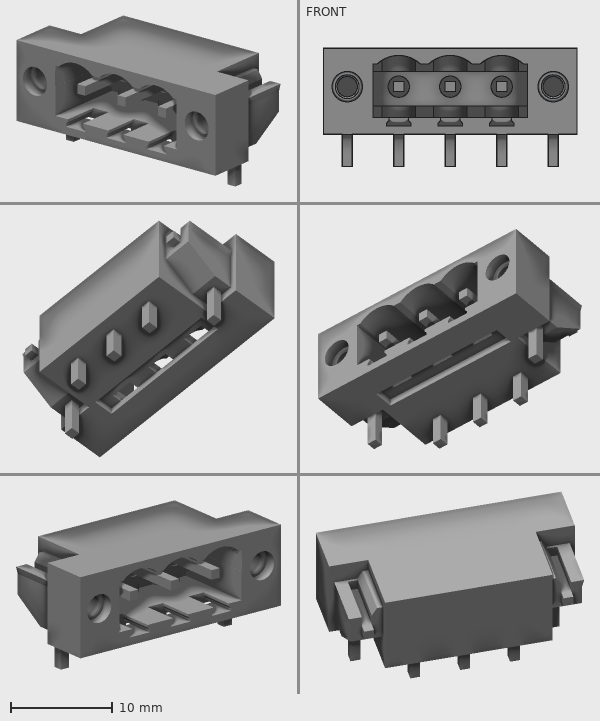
import cadquery as cq
import math


LENGTH = 25.05
DEPTH = 12.0
HEIGHT = 8.51
FLANGE_DEPTH = 5.28
CORE_LENGTH = 17.08
CENTER_X = LENGTH / 2

PITCH = 5.08
CONTACT_XS = [CENTER_X + i * PITCH for i in (-1, 0, 1)]
ANCHOR_XS = [CENTER_X + side * 2 * PITCH for side in (-1, 1)]
AXIS_Z = 4.7
PIN_SIZE = 1.0
TAIL_LENGTH = 3.18
PIN_LOWER_Z = AXIS_Z - PIN_SIZE / 2
PIN_UPPER_Z = AXIS_Z + PIN_SIZE / 2
CONTACT_TIP_Y = 0.93
CONTACT_TAIL_BACK_Y = 10.52
CONTACT_TAIL_DEPTH = 1.05
ANCHOR_FRONT_Y = 5.53

CAVITY_LENGTH = 15.22
CAVITY_FLOOR_Z = 1.65
CAVITY_CEILING_Z = 6.94
CAVITY_BACK_Y = 9.01
CEILING_ARC_RADIUS = 3.08

SHELF_FRONT_Y = 7.5
SHELF_BOTTOM_Z = 2.78
SHELF_TOP_Z = 6.18
COLUMN_HALF_WIDTH = 1.65
COLUMN_NOSE_HALF_WIDTH = 1.28
COLUMN_FLANK_ANGLE = math.radians(59)
RECESS_RADIUS = 1.05
RECESS_DEPTH = 0.25

SLOT_NECK_HALF_WIDTH = 0.95
SLOT_BASE_HALF_WIDTH = 1.2
SLOT_STEP = 0.28
SLOT_BASE_Z = CAVITY_FLOOR_Z - 3 * SLOT_STEP
SLOT_BACK_Y = 4.1

POCKET_FRONT_Y = 3.08
POCKET_BACK_Y = FLANGE_DEPTH

INSERT_RADIUS = 1.5
INSERT_BORE_RADIUS = 1.0
INSERT_CHAMFER_RADIAL = 0.18
INSERT_CHAMFER_DEPTH = 0.1
INSERT_FRONT_Y = 1.2
INSERT_BACK_Y = 4.2

BRACKET_BACK_Y = 11.07
BRACKET_OUTER_X = 0.53
BRACKET_LIP_X = 0.2
BRACKET_LIP_BOTTOM_Z = 5.58
BRACKET_TOP_Z = 6.34
LEDGE_TOP_Z = 7.19
LEDGE_X = 3.4
BRACKET_BOTTOM_Z = 1.05
BRACKET_CHAMFER_FRONT_Y = 7.4
BRACKET_CHAMFER_TOP_Z = 3.38


def box(x0, x1, y0, y1, z0, z1):
    """Box between two corners."""
    return cq.Workplane("XY").box(x1 - x0, y1 - y0, z1 - z0, centered=False).translate((x0, y0, z0))


def centered_box(x, width, y0, y1, z0, z1):
    """Box centred on x."""
    return box(x - width / 2, x + width / 2, y0, y1, z0, z1)


def y_cylinder(x, radius, y0, y1):
    """Cylinder along Y at the height of the contact axis."""
    return cq.Workplane("XZ", origin=(x, y0, AXIS_Z)).circle(radius).extrude(y0 - y1)


def mirrored(body):
    """Copy of a body on the opposite side of the housing."""
    return body.mirror("YZ", (CENTER_X, 0, 0))


def make_cavity():
    """Rectangular plug opening with a cylindrical ceiling channel over each contact."""
    cavity = centered_box(CENTER_X, CAVITY_LENGTH, 0, CAVITY_BACK_Y, CAVITY_FLOOR_Z, CAVITY_CEILING_Z)
    for x in CONTACT_XS:
        channel = y_cylinder(x, CEILING_ARC_RADIUS, 0, CAVITY_BACK_Y)
        slab = centered_box(x, PITCH, 0, CAVITY_BACK_Y, AXIS_Z, HEIGHT)
        cavity = cavity.union(channel.intersect(slab))
    return cavity


def make_column(x):
    """Upright column on the back wall with slanted flanks and a round nose."""
    nose_radius = COLUMN_NOSE_HALF_WIDTH / math.sin(COLUMN_FLANK_ANGLE)
    flank_depth = (COLUMN_HALF_WIDTH - COLUMN_NOSE_HALF_WIDTH) * math.tan(COLUMN_FLANK_ANGLE)
    shoulder_y = CAVITY_BACK_Y - flank_depth
    nose_y = shoulder_y - nose_radius * (1 - math.cos(COLUMN_FLANK_ANGLE))
    return (
        cq.Workplane("XY")
        .moveTo(x - COLUMN_HALF_WIDTH, CAVITY_BACK_Y)
        .lineTo(x - COLUMN_NOSE_HALF_WIDTH, shoulder_y)
        .threePointArc((x, nose_y), (x + COLUMN_NOSE_HALF_WIDTH, shoulder_y))
        .lineTo(x + COLUMN_HALF_WIDTH, CAVITY_BACK_Y)
        .close()
        .extrude(HEIGHT)
    )


def make_slot(x):
    """Dovetail slot running back from the mating face."""
    flare_top_z = CAVITY_FLOOR_Z - SLOT_STEP
    flare_bottom_z = flare_top_z - SLOT_STEP
    right_side = [
        (SLOT_NECK_HALF_WIDTH, CAVITY_FLOOR_Z),
        (SLOT_NECK_HALF_WIDTH, flare_top_z),
        (SLOT_BASE_HALF_WIDTH, flare_bottom_z),
        (SLOT_BASE_HALF_WIDTH, SLOT_BASE_Z),
    ]
    left_side = [(-dx, z) for dx, z in reversed(right_side)]
    profile = cq.Workplane("XZ", origin=(x, 0, 0)).polyline(right_side + left_side).close()
    return profile.extrude(-SLOT_BACK_Y)


def make_bracket():
    """Left bracket behind the flange: lipped outer wall, raised ledge and sloped underside."""
    outer_wall_x = BRACKET_OUTER_X + BRACKET_LIP_X
    core_x = (LENGTH - CORE_LENGTH) / 2
    pin_inner_x = ANCHOR_XS[0] + PIN_SIZE / 2
    cross_section = [
        (outer_wall_x, 0),
        (outer_wall_x, BRACKET_LIP_BOTTOM_Z),
        (BRACKET_OUTER_X, BRACKET_TOP_Z),
        (pin_inner_x, BRACKET_TOP_Z),
        (LEDGE_X, LEDGE_TOP_Z),
        (core_x, LEDGE_TOP_Z),
        (core_x, 0),
    ]
    side_outline = [
        (FLANGE_DEPTH, BRACKET_BOTTOM_Z),
        (BRACKET_CHAMFER_FRONT_Y, BRACKET_BOTTOM_Z),
        (BRACKET_BACK_Y, BRACKET_CHAMFER_TOP_Z),
        (BRACKET_BACK_Y, HEIGHT),
        (FLANGE_DEPTH, HEIGHT),
    ]
    across = cq.Workplane("XZ").polyline(cross_section).close().extrude(-DEPTH)
    along = cq.Workplane("YZ").polyline(side_outline).close().extrude(CENTER_X)
    return across.intersect(along)


def make_contact_pin(x):
    """L-shaped contact: a blade along Y with a solder tail at its back end."""
    blade = centered_box(x, PIN_SIZE, CONTACT_TIP_Y, CONTACT_TAIL_BACK_Y, PIN_LOWER_Z, PIN_UPPER_Z)
    tail_front_y = CONTACT_TAIL_BACK_Y - CONTACT_TAIL_DEPTH
    tail = centered_box(x, PIN_SIZE, tail_front_y, CONTACT_TAIL_BACK_Y, -TAIL_LENGTH, PIN_UPPER_Z)
    return blade.union(tail)


def make_anchor_pin(x):
    """L-shaped anchor: a bar along Y with a solder tail at its front end."""
    bar = centered_box(x, PIN_SIZE, ANCHOR_FRONT_Y, DEPTH, PIN_LOWER_Z, PIN_UPPER_Z)
    tail_back_y = ANCHOR_FRONT_Y + PIN_SIZE
    tail = centered_box(x, PIN_SIZE, ANCHOR_FRONT_Y, tail_back_y, -TAIL_LENGTH, PIN_UPPER_Z)
    return bar.union(tail)


def make_insert(x):
    """Tubular screw insert with a chamfered mouth."""
    mouth_radius = INSERT_BORE_RADIUS + INSERT_CHAMFER_RADIAL
    chamfer_back_y = INSERT_FRONT_Y + INSERT_CHAMFER_DEPTH
    half_section = [
        (mouth_radius, INSERT_FRONT_Y),
        (INSERT_RADIUS, INSERT_FRONT_Y),
        (INSERT_RADIUS, INSERT_BACK_Y),
        (INSERT_BORE_RADIUS, INSERT_BACK_Y),
        (INSERT_BORE_RADIUS, chamfer_back_y),
    ]
    section = cq.Workplane("XY", origin=(x, 0, AXIS_Z)).polyline(half_section).close()
    return section.revolve(360, (0, 0, 0), (0, 1, 0))


def make_housing(contact_pins, anchor_pins):
    """Flanged housing with all its openings and the seats for the other bodies."""
    flange = box(0, LENGTH, 0, FLANGE_DEPTH, 0, HEIGHT)
    core = centered_box(CENTER_X, CORE_LENGTH, 0, DEPTH, 0, HEIGHT)
    bracket = make_bracket()
    body = flange.union(core).union(bracket).union(mirrored(bracket))

    cavity = make_cavity()
    for x in CONTACT_XS:
        cavity = cavity.cut(make_column(x))
    shelf = centered_box(CENTER_X, CAVITY_LENGTH, SHELF_FRONT_Y, CAVITY_BACK_Y, SHELF_BOTTOM_Z, SHELF_TOP_Z)
    body = body.cut(cavity.cut(shelf))

    body = body.cut(centered_box(CENTER_X, CAVITY_LENGTH, POCKET_FRONT_Y, POCKET_BACK_Y, 0, SLOT_BASE_Z))

    for x in CONTACT_XS:
        body = body.cut(make_slot(x))
        body = body.cut(y_cylinder(x, RECESS_RADIUS, SHELF_FRONT_Y, SHELF_FRONT_Y + RECESS_DEPTH))

    for x in ANCHOR_XS:
        body = body.cut(y_cylinder(x, INSERT_RADIUS, 0, INSERT_BACK_Y))
        body = body.cut(centered_box(x, PIN_SIZE, ANCHOR_FRONT_Y, DEPTH, PIN_LOWER_Z, HEIGHT))

    for pin in contact_pins + anchor_pins:
        body = body.cut(pin)
    return body


contact_pins = [make_contact_pin(x) for x in CONTACT_XS]
anchor_pins = [make_anchor_pin(x) for x in ANCHOR_XS]
inserts = [make_insert(x) for x in ANCHOR_XS]
housing = make_housing(contact_pins, anchor_pins)

result = cq.Compound.makeCompound(
    [housing.val()] + [body.val() for body in contact_pins + anchor_pins + inserts]
)